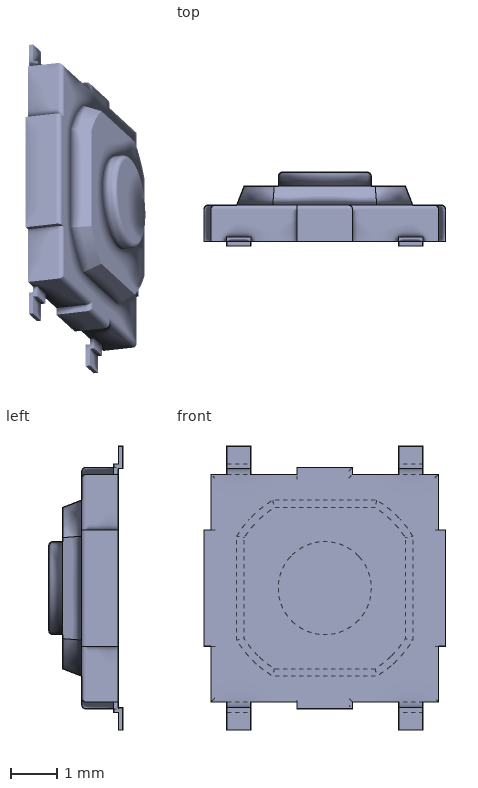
import cadquery as cq
import math

overall_height = 6.12
overall_depth = 1.6

body_side = 4.91
tab_span = 5.21
end_tab_width = 1.2
side_tab_height = 2.51
body_front = 0.1
body_back = 0.89
edge_radius = 0.1

collar_back = 1.3
collar_base_half = 1.9
collar_top_half = 1.74
collar_base_radius = 2.205
collar_top_radius = 2.05

button_radius = 1.005
button_edge_radius = 0.1

lead_width = 0.52
lead_center_x = 1.855
lead_thickness = body_front
foot_inner_z = 2.575
riser_outer_z = 2.68
riser_back = body_front + lead_thickness


def plane_at(y):
    """Sketch plane facing +Y at the given depth."""
    return cq.Workplane(cq.Plane(origin=(0, y, 0), xDir=(1, 0, 0), normal=(0, 1, 0)))


def make_housing():
    depth = body_back - body_front
    base = plane_at(body_front)
    body = base.rect(body_side, body_side).extrude(depth)
    body = body.faces(">Y").edges().fillet(edge_radius)
    side_tabs = base.rect(tab_span, side_tab_height).extrude(depth)
    side_tabs = side_tabs.faces(">Y").edges("<X or >X").fillet(edge_radius)
    end_tabs = base.rect(end_tab_width, tab_span).extrude(depth)
    end_tabs = end_tabs.faces(">Y").edges("<Z or >Z or >X").fillet(edge_radius)
    return body.union(side_tabs).union(end_tabs)


def make_collar():
    height = collar_back - body_back
    taper = math.degrees(math.atan2(collar_base_half - collar_top_half, height))
    flats = plane_at(body_back).rect(2 * collar_base_half, 2 * collar_base_half).extrude(height, taper=taper)
    cone = cq.Workplane(
        cq.Solid.makeCone(
            collar_base_radius,
            collar_top_radius,
            height,
            pnt=cq.Vector(0, body_back, 0),
            dir=cq.Vector(0, 1, 0),
        )
    )
    return flats.intersect(cone)


def make_button():
    button = plane_at(collar_back).circle(button_radius).extrude(overall_depth - collar_back)
    return button.faces(">Y").edges().fillet(button_edge_radius)


def make_lead(center_x, z_sign):
    """Stepped terminal: a riser leaving the housing and a foot in front of it."""
    profile = [
        (body_front, body_side / 2 - lead_thickness),
        (body_front, foot_inner_z),
        (0, foot_inner_z),
        (0, overall_height / 2),
        (lead_thickness, overall_height / 2),
        (lead_thickness, riser_outer_z),
        (riser_back, riser_outer_z),
        (riser_back, body_side / 2 - lead_thickness),
    ]
    points = [(y, z_sign * z) for y, z in profile]
    start = cq.Workplane("YZ", origin=(center_x - lead_width / 2, 0, 0))
    return start.polyline(points).close().extrude(lead_width)


result = make_housing().union(make_collar()).union(make_button())
for x_sign in (-1, 1):
    for z_sign in (-1, 1):
        result = result.union(make_lead(x_sign * lead_center_x, z_sign))